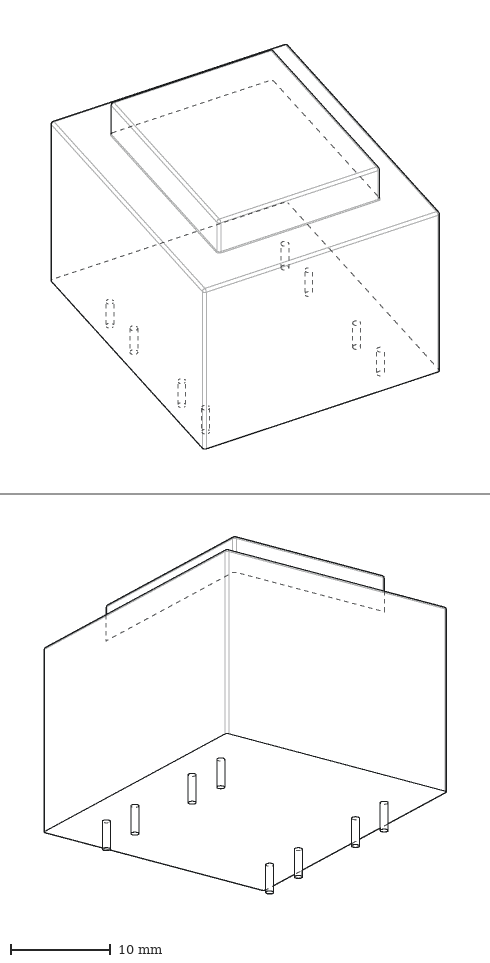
import cadquery as cq


body_length = 32.0
body_width = 27.0
body_height = 20.0

cap_length = 22.5
cap_width = 18.5
cap_height = 4.0

edge_radius = 0.3

cap_foot_radius = 0.1

pin_diameter = 0.8
pin_length = 3.0
pin_pitch = 5.0
pin_steps_x = (-2, -1, 1, 2)
pin_steps_y = (-2, 2)


def rounded_block(length, width, height, base_z):
    """Block with a sharp base and rounded vertical and upper edges."""
    block = cq.Workplane("XY", origin=(0, 0, base_z)).rect(length, width).extrude(height)
    return block.edges("|Z or >Z").fillet(edge_radius)


def pins():
    """All the pins, hanging down from the underside of the body."""
    places = [(i * pin_pitch, j * pin_pitch) for i in pin_steps_x for j in pin_steps_y]
    return cq.Workplane("XY").pushPoints(places).circle(pin_diameter / 2).extrude(-pin_length)


def cap_foot_edges(solid):
    """Edges of the closed outline where the cap stands on the body top."""
    margin = cap_foot_radius
    low_corner = (-cap_length / 2 - margin, -cap_width / 2 - margin, body_height - margin)
    high_corner = (cap_length / 2 + margin, cap_width / 2 + margin, body_height + margin)
    return solid.edges(cq.selectors.BoxSelector(low_corner, high_corner))


body = rounded_block(body_length, body_width, body_height, 0)
cap = rounded_block(cap_length, cap_width, cap_height, body_height)

housing = cap_foot_edges(body.union(cap)).fillet(cap_foot_radius)

result = housing.union(pins())